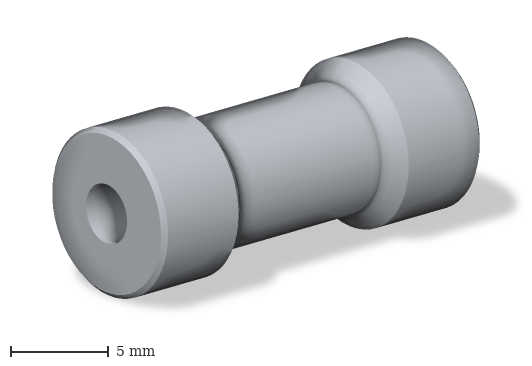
import cadquery as cq

length = 21.5
head_diameter = 9.0
waist_diameter = 7.0
bore_diameter = 3.2
head_length = 5.0
edge_chamfer = 0.25

head_radius = head_diameter / 2
waist_radius = waist_diameter / 2
bore_radius = bore_diameter / 2
half_length = length / 2
head_inner_y = half_length - head_length
taper_length = head_radius - waist_radius
waist_end_y = head_inner_y - taper_length

upper_points = [
    (waist_radius, waist_end_y),
    (head_radius, head_inner_y),
    (head_radius, half_length - edge_chamfer),
    (head_radius - edge_chamfer, half_length),
    (bore_radius, half_length),
]

lower_points = [(radius, -y) for radius, y in reversed(upper_points)]

axis_start = (0, 0, 0)
axis_end = (0, 1, 0)
result = (
    cq.Workplane("XY")
    .polyline(lower_points + upper_points)
    .close()
    .revolve(360, axis_start, axis_end)
)